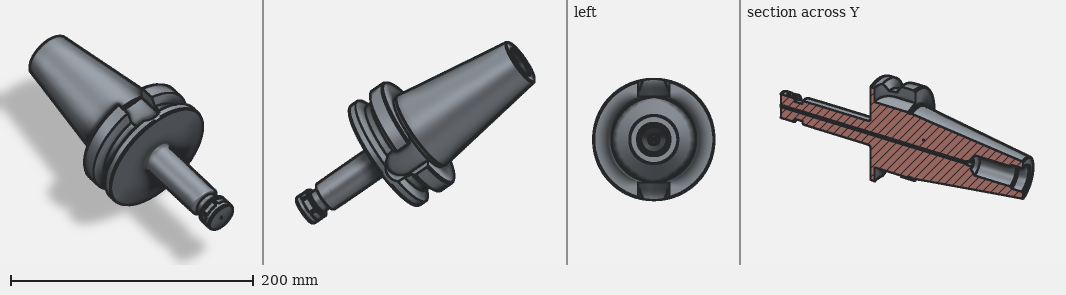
import cadquery as cq
import math

TOTAL_LENGTH = 221.8

TAPER_RATIO = 7 / 24
TAPER_LENGTH = 101.8
TAPER_LARGE_RADIUS = 34.93
TAPER_SMALL_RADIUS = TAPER_LARGE_RADIUS - TAPER_LENGTH * TAPER_RATIO / 2
TAPER_END_CHAMFER = 0.7

RELIEF_RADIUS = 34.4
RELIEF_START = 102.5
RELIEF_END = 103.8
UNDERCUT_RADIUS = 34.0
UNDERCUT_END = 105.4
UNDERCUT_MOUTH_RADIUS = 37.0

FLANGE_START = 104.7
FLANGE_END = 139.7
FLANGE_RADIUS = 50.02
FLANGE_EDGE_LENGTH = 1.3
FLANGE_FRONT_EDGE_DEPTH = 0.9
FLANGE_BACK_EDGE_DEPTH = 0.5
GROOVE_START = 117.5
GROOVE_END = 132.6
GROOVE_FLOOR_RADIUS = 42.4
GROOVE_WALL_ANGLE = 60
GROOVE_WALL_LENGTH = (FLANGE_RADIUS - GROOVE_FLOOR_RADIUS) / math.tan(math.radians(GROOVE_WALL_ANGLE))

SLOT_WIDTH = 25.7
SLOT_END = 135.7
SLOT_FLOOR_HEIGHT = 35.3

STEM_RADIUS = 26.0 / 2
STEM_FILLET = 2.5
HEAD_RADIUS = 12.9
HEAD_STEP_START = 190.0
HEAD_STEP_END = 192.0
HEAD_END = 201.8
HEAD_FILLET = 2.0
NECK_RADIUS = 19.0 / 2

NUT_START = 208.7
NUT_RADIUS = STEM_RADIUS
NUT_EDGE_LENGTH = 1.3
NUT_EDGE_DEPTH = 0.5
FLAT_COUNT = 6
FLAT_DISTANCE = 11.8
FLAT_START = 211.2
FLAT_END = 216.5
FLAT_WALL_RUN = 0.9

BORE_MOUTH_RADIUS = 13.8
BORE_RADIUS = 12.5
BORE_DEPTH = 10.5
THREAD_MOUTH_RADIUS = 12.0
THREAD_RADIUS = 21.0 / 2
THREAD_DEPTH = 44.4
DRILL_POINT_ANGLE = 118
PLUG_RADIUS = 9.3 / 2
PLUG_TIP_RADIUS = 7.8 / 2
PLUG_HOLE_RADIUS = 3.5 / 2
PLUG_HOLE_DEPTH = 4.5
COOLANT_RADIUS = 1.7 / 2


def fillet_middle(center_x, center_r, radius, side_x, side_r):
    """Point halfway along a quarter-circle fillet, on the given side of its center."""
    reach = radius * math.sqrt(0.5)
    return center_x + side_x * reach, center_r + side_r * reach


def revolve_about_x(profile):
    """Close a half profile and turn it fully about the X axis."""
    return profile.close().revolve(360, (0, 0, 0), (1, 0, 0))


def make_body():
    """Revolved outside: taper, flange, stem, neck and nut blank."""
    taper_edge_radius = TAPER_SMALL_RADIUS + TAPER_END_CHAMFER * TAPER_RATIO / 2
    stem_fillet_end = FLANGE_END + STEM_FILLET
    stem_fillet_top = STEM_RADIUS + STEM_FILLET
    head_fillet_start = HEAD_END - HEAD_FILLET
    head_fillet_bottom = HEAD_RADIUS - HEAD_FILLET
    profile = (
        cq.Workplane("XY")
        .moveTo(0, 0)
        .lineTo(0, TAPER_SMALL_RADIUS - TAPER_END_CHAMFER)
        .lineTo(TAPER_END_CHAMFER, taper_edge_radius)
        .lineTo(TAPER_LENGTH, TAPER_LARGE_RADIUS)
        .lineTo(RELIEF_START, RELIEF_RADIUS)
        .lineTo(RELIEF_END, RELIEF_RADIUS)
        .lineTo(UNDERCUT_END, UNDERCUT_RADIUS)
        .lineTo(FLANGE_START, UNDERCUT_MOUTH_RADIUS)
        .lineTo(FLANGE_START, FLANGE_RADIUS - FLANGE_FRONT_EDGE_DEPTH)
        .lineTo(FLANGE_START + FLANGE_EDGE_LENGTH, FLANGE_RADIUS)
        .lineTo(GROOVE_START, FLANGE_RADIUS)
        .lineTo(GROOVE_START + GROOVE_WALL_LENGTH, GROOVE_FLOOR_RADIUS)
        .lineTo(GROOVE_END - GROOVE_WALL_LENGTH, GROOVE_FLOOR_RADIUS)
        .lineTo(GROOVE_END, FLANGE_RADIUS)
        .lineTo(FLANGE_END - FLANGE_EDGE_LENGTH, FLANGE_RADIUS)
        .lineTo(FLANGE_END, FLANGE_RADIUS - FLANGE_BACK_EDGE_DEPTH)
        .lineTo(FLANGE_END, stem_fillet_top)
        .threePointArc(
            fillet_middle(stem_fillet_end, stem_fillet_top, STEM_FILLET, -1, -1),
            (stem_fillet_end, STEM_RADIUS),
        )
        .lineTo(HEAD_STEP_START, STEM_RADIUS)
        .lineTo(HEAD_STEP_END, HEAD_RADIUS)
        .lineTo(head_fillet_start, HEAD_RADIUS)
        .threePointArc(
            fillet_middle(head_fillet_start, head_fillet_bottom, HEAD_FILLET, 1, 1),
            (HEAD_END, head_fillet_bottom),
        )
        .lineTo(HEAD_END, NECK_RADIUS)
        .lineTo(NUT_START, NECK_RADIUS)
        .lineTo(NUT_START, NUT_RADIUS - NUT_EDGE_DEPTH)
        .lineTo(NUT_START + NUT_EDGE_LENGTH, NUT_RADIUS)
        .lineTo(TOTAL_LENGTH - NUT_EDGE_LENGTH, NUT_RADIUS)
        .lineTo(TOTAL_LENGTH, NUT_RADIUS - NUT_EDGE_DEPTH)
        .lineTo(TOTAL_LENGTH, 0)
    )
    return revolve_about_x(profile)


def make_bore():
    """Revolved inside: counterbore, threaded hole with drill point, plug and coolant hole."""
    mouth_chamfer = BORE_MOUTH_RADIUS - BORE_RADIUS
    thread_start = BORE_DEPTH + THREAD_MOUTH_RADIUS - THREAD_RADIUS
    point_slope = math.tan(math.radians(DRILL_POINT_ANGLE / 2))
    cone_end = THREAD_DEPTH + (THREAD_RADIUS - PLUG_RADIUS) / point_slope
    plug_tip = cone_end - (PLUG_RADIUS - PLUG_TIP_RADIUS)
    plug_hole_end = plug_tip + PLUG_HOLE_DEPTH
    profile = (
        cq.Workplane("XY")
        .moveTo(0, 0)
        .lineTo(0, BORE_MOUTH_RADIUS)
        .lineTo(mouth_chamfer, BORE_RADIUS)
        .lineTo(BORE_DEPTH, BORE_RADIUS)
        .lineTo(BORE_DEPTH, THREAD_MOUTH_RADIUS)
        .lineTo(thread_start, THREAD_RADIUS)
        .lineTo(THREAD_DEPTH, THREAD_RADIUS)
        .lineTo(cone_end, PLUG_RADIUS)
        .lineTo(plug_tip, PLUG_TIP_RADIUS)
        .lineTo(plug_tip, PLUG_HOLE_RADIUS)
        .lineTo(plug_hole_end, PLUG_HOLE_RADIUS)
        .lineTo(plug_hole_end, COOLANT_RADIUS)
        .lineTo(TOTAL_LENGTH, COOLANT_RADIUS)
        .lineTo(TOTAL_LENGTH, 0)
    )
    return revolve_about_x(profile)


def make_drive_slot():
    """Cutter for the +Z drive slot: open at the taper side, round at the other end."""
    half_width = SLOT_WIDTH / 2
    round_start = SLOT_END - half_width
    return (
        cq.Workplane("XY", origin=(0, 0, SLOT_FLOOR_HEIGHT))
        .moveTo(TAPER_LENGTH, -half_width)
        .lineTo(round_start, -half_width)
        .threePointArc((SLOT_END, 0), (round_start, half_width))
        .lineTo(TAPER_LENGTH, half_width)
        .close()
        .extrude(FLANGE_RADIUS - SLOT_FLOOR_HEIGHT)
    )


def make_wrench_flat():
    """Cutter for the wrench flat on the +Y side, with a sloped wall toward the nut collar."""
    return (
        cq.Workplane("XY")
        .moveTo(FLAT_START, FLAT_DISTANCE)
        .lineTo(FLAT_END, FLAT_DISTANCE)
        .lineTo(FLAT_END, NUT_RADIUS)
        .lineTo(FLAT_START - FLAT_WALL_RUN, NUT_RADIUS)
        .close()
        .extrude(NUT_RADIUS, both=True)
    )


result = make_body().cut(make_bore())

drive_slot = make_drive_slot()
for angle in (0, 180):
    result = result.cut(drive_slot.rotate((0, 0, 0), (1, 0, 0), angle))

wrench_flat = make_wrench_flat()
for index in range(FLAT_COUNT):
    angle = index * 360 / FLAT_COUNT
    result = result.cut(wrench_flat.rotate((0, 0, 0), (1, 0, 0), angle))